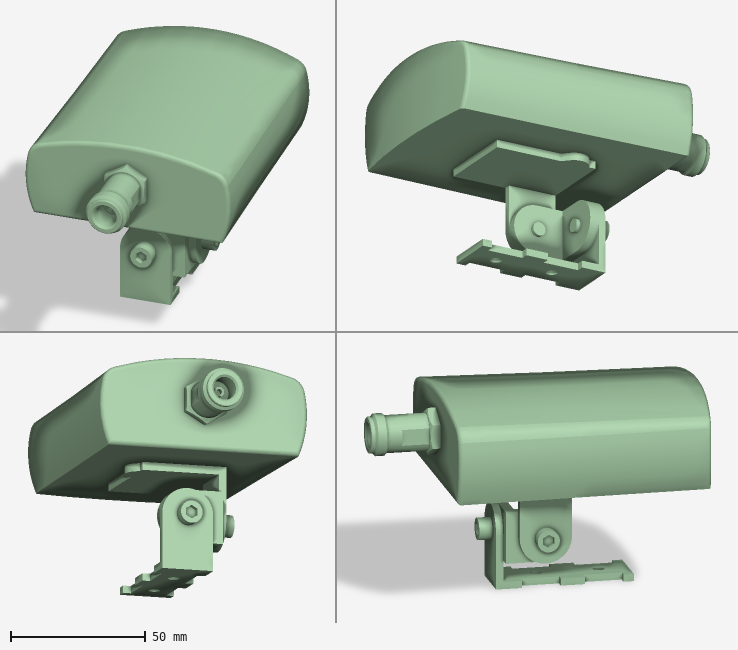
import cadquery as cq
import math


HOUSING_LENGTH = 100.1
FRONT_CROWN_HEIGHT = 35.0
FRONT_HALF_WIDTH = 40.5
BULGE_HEIGHT = 15.9
BOTTOM_STEP_IN = 3.3
CORNER_STEP_IN = 2.0
CORNER_DROP = 6.4
REAR_INSET = 1.6
MIDDLE_INSET = 1.0
FRONT_CORNER_RADIUS = 6.8
REAR_CORNER_RADIUS = 5.3
REAR_FACE_RADIUS = 216.8
RIM_FILLET = 1.5

CONNECTOR_HEIGHT = 18.5
CONNECTOR_LENGTH = 26.0
NUT_ACROSS_FLATS = 15.9
NUT_THICKNESS = 3.8
NUT_FACE_DIAMETER = 15.2
NUT_CHAMFER_ANGLE = 30.0
BARREL_DIAMETER = 14.2
BARREL_ACROSS_FLATS = 12.9
BARREL_FLAT_END = 14.2
COLLAR_DIAMETER = 16.0
COLLAR_CONE_START = 19.4
COLLAR_START = 20.3
COLLAR_END = 23.6
TIP_DIAMETER = 13.9
TIP_CHAMFER = 0.3
TIP_START = 24.5
BORE_DIAMETER = 8.7
BORE_CHAMFER = 0.8
BORE_DEPTH = 10.1
PIN_DIAMETER = 3.8
PIN_LENGTH = 2.5
PIN_HOLE_DIAMETER = 2.0

ARM_WIDTH = 19.9
ARM_RADIUS = ARM_WIDTH / 2
ARM_THICKNESS = 2.8
PIVOT_HEIGHT = -20.4
STUD_DIAMETER = 5.3
HINGE_PLATE = 3.8

FLANGE_THICKNESS = 3.0
FLANGE_FRONT = 28.2
FLANGE_REAR = 70.5
FLANGE_LEFT = -15.4
UPPER_ARM_OUTER = 17.4
UPPER_PIVOT_Y = FLANGE_FRONT + ARM_RADIUS
EAR_X = 13.5
EAR_Y = 36.5
EAR_RADIUS = 5.9

LOWER_ARM_FRONT = 20.8
BASE_BOTTOM = -41.5
BASE_REAR = 73.5
BASE_HOLE_DIAMETER = 4.4
BASE_HOLE_Y = 38.2
BASE_HOLE_PITCH = 24.0
NOTCH_LENGTH = 14.7
NOTCH_DEPTH = 3.0

HEAD_DIAMETER = 8.5
HEAD_HEIGHT = 5.0
SOCKET_ACROSS_FLATS = 4.4
SOCKET_DEPTH = 2.5
STUD_PROTRUSION = 1.6

UPPER_ARM_INNER = UPPER_ARM_OUTER - ARM_THICKNESS
LOWER_ARM_REAR = LOWER_ARM_FRONT + ARM_THICKNESS


def cylinder(start, direction, diameter, length):
    return cq.Workplane(cq.Solid.makeCylinder(diameter / 2, length, cq.Vector(*start), cq.Vector(*direction)))


def block(x_range, y_range, z_range):
    """Box between the given limits along each axis."""
    sizes = [high - low for low, high in (x_range, y_range, z_range)]
    return cq.Workplane(cq.Solid.makeBox(*sizes, cq.Vector(x_range[0], y_range[0], z_range[0])))


def hexagon_prism(start, normal, x_direction, across_flats, length):
    """Hexagonal prism with two corners along x_direction, extruded along normal."""
    plane = cq.Plane(origin=start, xDir=x_direction, normal=normal)
    return cq.Workplane(plane).polygon(6, across_flats / math.cos(math.pi / 6)).extrude(length)


def housing_section(y, inset, corner_radius):
    """Closed cross-section at y: flat bottom, bulging sides, crowned top and rounded top corners."""
    half_width = FRONT_HALF_WIDTH - inset
    crown = FRONT_CROWN_HEIGHT - inset
    bottom_x = half_width - BOTTOM_STEP_IN
    corner_x = half_width - CORNER_STEP_IN
    corner_z = crown - CORNER_DROP
    outline = (
        cq.Workplane("XZ", origin=(0, y, 0))
        .moveTo(-bottom_x, 0)
        .lineTo(bottom_x, 0)
        .threePointArc((half_width, BULGE_HEIGHT), (corner_x, corner_z))
        .threePointArc((0, crown), (-corner_x, corner_z))
        .threePointArc((-half_width, BULGE_HEIGHT), (-bottom_x, 0))
        .close()
    )
    face = cq.Face.makeFromWires(outline.val())
    top_corners = [v for v in face.Vertices() if v.Z > BULGE_HEIGHT]
    return face.fillet2D(corner_radius, top_corners).outerWire()


def make_housing():
    front = housing_section(0, 0, FRONT_CORNER_RADIUS)
    middle_radius = (FRONT_CORNER_RADIUS + REAR_CORNER_RADIUS) / 2
    middle = housing_section(HOUSING_LENGTH / 2, MIDDLE_INSET, middle_radius)
    rear = housing_section(HOUSING_LENGTH, REAR_INSET, REAR_CORNER_RADIUS)
    tapered = cq.Workplane(cq.Solid.makeLoft([front, middle, rear]))

    bow = REAR_FACE_RADIUS - math.sqrt(REAR_FACE_RADIUS**2 - FRONT_HALF_WIDTH**2)
    rear_side_y = HOUSING_LENGTH - bow
    plan = (
        cq.Workplane("XY")
        .moveTo(-FRONT_HALF_WIDTH, 0)
        .lineTo(FRONT_HALF_WIDTH, 0)
        .lineTo(FRONT_HALF_WIDTH, rear_side_y)
        .threePointArc((0, HOUSING_LENGTH), (-FRONT_HALF_WIDTH, rear_side_y))
        .close()
        .extrude(FRONT_CROWN_HEIGHT)
    )
    body = tapered.intersect(plan)
    body = body.faces("<Y").edges().fillet(RIM_FILLET)
    return body.faces(">Y").edges("not <Z").fillet(RIM_FILLET)


def make_nut():
    nut = hexagon_prism((0, 0, CONNECTOR_HEIGHT), (0, -1, 0), (0, 0, 1), NUT_ACROSS_FLATS, NUT_THICKNESS)
    corner_radius = NUT_ACROSS_FLATS / 2 / math.cos(math.pi / 6)
    face_radius = NUT_FACE_DIAMETER / 2
    chamfer_height = (corner_radius - face_radius) * math.tan(math.radians(NUT_CHAMFER_ANGLE))
    turned = (
        cq.Workplane("XY")
        .polyline([
            (0, 0),
            (corner_radius, 0),
            (corner_radius, -NUT_THICKNESS + chamfer_height),
            (face_radius, -NUT_THICKNESS),
            (0, -NUT_THICKNESS),
        ])
        .close()
        .revolve(360, (0, 0), (0, 1))
        .translate((0, 0, CONNECTOR_HEIGHT))
    )
    return nut.intersect(turned)


def make_barrel():
    """Turned connector barrel with collar, tip and bored socket, from the nut outwards."""
    bore_mouth_radius = BORE_DIAMETER / 2 + BORE_CHAMFER
    bore_floor = CONNECTOR_LENGTH - BORE_DEPTH
    barrel = (
        cq.Workplane("XY")
        .polyline([
            (0, 0),
            (BARREL_DIAMETER / 2, 0),
            (BARREL_DIAMETER / 2, -COLLAR_CONE_START),
            (COLLAR_DIAMETER / 2, -COLLAR_START),
            (COLLAR_DIAMETER / 2, -COLLAR_END),
            (TIP_DIAMETER / 2, -TIP_START),
            (TIP_DIAMETER / 2, -CONNECTOR_LENGTH + TIP_CHAMFER),
            (TIP_DIAMETER / 2 - TIP_CHAMFER, -CONNECTOR_LENGTH),
            (bore_mouth_radius, -CONNECTOR_LENGTH),
            (BORE_DIAMETER / 2, -CONNECTOR_LENGTH + BORE_CHAMFER),
            (BORE_DIAMETER / 2, -bore_floor),
            (0, -bore_floor),
        ])
        .close()
        .revolve(360, (0, 0), (0, 1))
        .translate((0, 0, CONNECTOR_HEIGHT))
    )
    half_flats = BARREL_ACROSS_FLATS / 2
    z_range = (CONNECTOR_HEIGHT - BARREL_DIAMETER, CONNECTOR_HEIGHT + BARREL_DIAMETER)
    for x_range in ((-BARREL_DIAMETER, -half_flats), (half_flats, BARREL_DIAMETER)):
        barrel = barrel.cut(block(x_range, (-BARREL_FLAT_END, 0), z_range))

    pin_start = (0, -bore_floor, CONNECTOR_HEIGHT)
    pin = cylinder(pin_start, (0, -1, 0), PIN_DIAMETER, PIN_LENGTH)
    pin_hole = cylinder(pin_start, (0, -1, 0), PIN_HOLE_DIAMETER, PIN_LENGTH)
    return barrel.union(pin.cut(pin_hole))


def make_antenna():
    return make_housing().union(make_nut()).union(make_barrel())


def make_upper_arm():
    """Plate facing X that hangs from the flange and ends in a half round about the upper pivot."""
    y_range = (UPPER_PIVOT_Y - ARM_RADIUS, UPPER_PIVOT_Y + ARM_RADIUS)
    arm = block((UPPER_ARM_INNER, UPPER_ARM_OUTER), y_range, (PIVOT_HEIGHT, 0))
    pivot = (UPPER_ARM_INNER, UPPER_PIVOT_Y, PIVOT_HEIGHT)
    return arm.union(cylinder(pivot, (1, 0, 0), ARM_WIDTH, ARM_THICKNESS))


def make_upper_bracket():
    flange = block((FLANGE_LEFT, UPPER_ARM_OUTER), (FLANGE_FRONT, FLANGE_REAR), (-FLANGE_THICKNESS, 0))
    tangent_offset = EAR_RADIUS * math.sqrt(0.5)
    for side in (-1, 1):
        ear_x = side * EAR_X
        ear = cylinder((ear_x, EAR_Y, 0), (0, 0, -1), 2 * EAR_RADIUS, FLANGE_THICKNESS)
        shoulder = (
            cq.Workplane("XY")
            .polyline([
                (ear_x, EAR_Y),
                (ear_x + side * tangent_offset, EAR_Y + tangent_offset),
                (ear_x, EAR_Y + 2 * tangent_offset),
            ])
            .close()
            .extrude(-FLANGE_THICKNESS)
        )
        flange = flange.union(ear).union(shoulder)
    bracket = flange.union(make_upper_arm())
    stud_hole = cylinder((UPPER_ARM_INNER, UPPER_PIVOT_Y, PIVOT_HEIGHT), (1, 0, 0), STUD_DIAMETER, ARM_THICKNESS)
    return bracket.cut(stud_hole)


def make_lower_bracket():
    x_range = (-ARM_RADIUS, ARM_RADIUS)
    base_z = (BASE_BOTTOM, BASE_BOTTOM + ARM_THICKNESS)
    base = block(x_range, (LOWER_ARM_FRONT, BASE_REAR), base_z)
    for y in (BASE_HOLE_Y, BASE_HOLE_Y + BASE_HOLE_PITCH):
        base = base.cut(cylinder((0, y, BASE_BOTTOM), (0, 0, 1), BASE_HOLE_DIAMETER, ARM_THICKNESS))
        notch_y = (y - NOTCH_LENGTH / 2, y + NOTCH_LENGTH / 2)
        for notch_x in ((-ARM_RADIUS, -ARM_RADIUS + NOTCH_DEPTH), (ARM_RADIUS - NOTCH_DEPTH, ARM_RADIUS)):
            base = base.cut(block(notch_x, notch_y, base_z))

    arm = block(x_range, (LOWER_ARM_FRONT, LOWER_ARM_REAR), (BASE_BOTTOM, PIVOT_HEIGHT))
    pivot = (0, LOWER_ARM_FRONT, PIVOT_HEIGHT)
    arm_end = cylinder(pivot, (0, 1, 0), ARM_WIDTH, ARM_THICKNESS)
    stud_hole = cylinder(pivot, (0, 1, 0), STUD_DIAMETER, ARM_THICKNESS)
    return base.union(arm).union(arm_end).cut(stud_hole)


def make_stud(head_face, inward):
    """Socket-head stud: head_face is the centre of the bearing face, inward points along the shank."""
    outward = tuple(-c for c in inward)
    shank_length = ARM_THICKNESS + HINGE_PLATE + STUD_PROTRUSION
    shank = cylinder(head_face, inward, STUD_DIAMETER, shank_length)
    head = cylinder(head_face, outward, HEAD_DIAMETER, HEAD_HEIGHT)
    socket_start = tuple(p + HEAD_HEIGHT * c for p, c in zip(head_face, outward))
    socket = hexagon_prism(socket_start, inward, (0, 0, 1), SOCKET_ACROSS_FLATS, SOCKET_DEPTH)
    return shank.union(head).cut(socket)


def make_hinge():
    z_range = (PIVOT_HEIGHT - ARM_RADIUS, PIVOT_HEIGHT + ARM_RADIUS)
    side_x = (UPPER_ARM_INNER - HINGE_PLATE, UPPER_ARM_INNER)
    front_y = (LOWER_ARM_REAR, LOWER_ARM_REAR + HINGE_PLATE)
    side_pivot = (side_x[0], UPPER_PIVOT_Y, PIVOT_HEIGHT)
    front_pivot = (0, front_y[0], PIVOT_HEIGHT)

    side_plate = block(side_x, (LOWER_ARM_REAR, UPPER_PIVOT_Y), z_range)
    side_plate = side_plate.union(cylinder(side_pivot, (1, 0, 0), ARM_WIDTH, HINGE_PLATE))
    front_plate = block((0, UPPER_ARM_INNER), front_y, z_range)
    front_plate = front_plate.union(cylinder(front_pivot, (0, 1, 0), ARM_WIDTH, HINGE_PLATE))

    side_stud = make_stud((UPPER_ARM_OUTER, UPPER_PIVOT_Y, PIVOT_HEIGHT), (-1, 0, 0))
    front_stud = make_stud((0, LOWER_ARM_FRONT, PIVOT_HEIGHT), (0, 1, 0))
    return side_plate.union(front_plate).union(side_stud).union(front_stud)


antenna = make_antenna()
upper_bracket = make_upper_bracket()
lower_bracket = make_lower_bracket()
hinge = make_hinge()

result = cq.Compound.makeCompound([
    antenna.val(),
    upper_bracket.val(),
    lower_bracket.val(),
    hinge.val(),
])